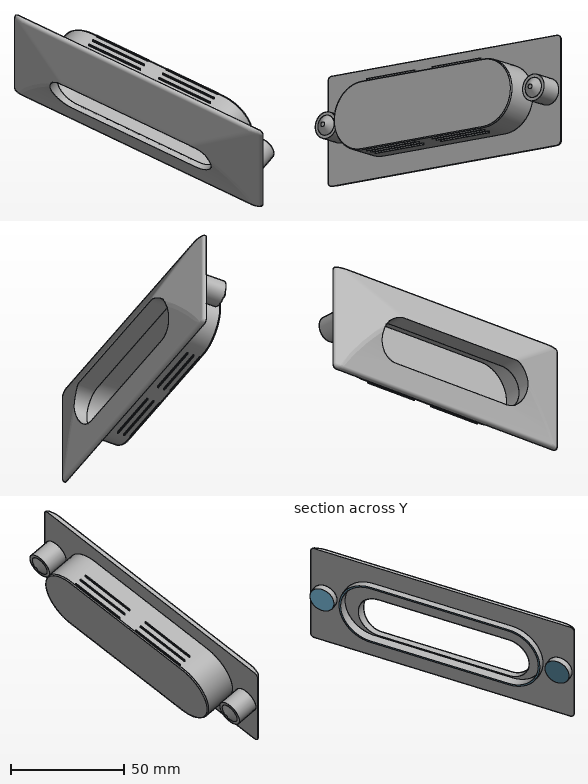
import cadquery as cq

cover_length = 130.0
cover_height = 50.0
cover_depth = 10.5
crest_height = 6.2
side_edge_depth = 1.3
long_edge_depth = 2.1
crest_half_length = 32.9
lower_slope_sag = 0.8
corner_radius = 2.0
ridge_radius = 5.0
rim_radius = 1.7
rim_zone_front = 3.2
rim_zone_back = 0.9

slot_length = 84.2
slot_height = 20.0
slot_center_z = -3.9

cup_length = 99.3
cup_height = 31.2
cup_wall = 1.0
cup_back = 15.9
cup_seat_depth = 1.3
cup_chamfer_inset = 0.4
cup_chamfer_depth = 0.6

rib_length = 27.0
rib_thickness = 0.4
rib_height = 0.8
rib_center_x = 18.3
rib_first_y = 8.7
rib_pitch = 3.1
rib_rows = 3

post_spacing = 116.0
post_diameter = 12.1
post_length = 10.5
tip_base_diameter = 9.1
tip_end_diameter = 2.1
tip_height = 2.3


def slot_prism(length, height, y_front, y_back, center_z=0.0):
    """Solid with a round-ended outline in XZ, from y_front to y_back."""
    return (
        cq.Workplane("XZ", origin=(0, y_front, center_z))
        .slot2D(length, height)
        .extrude(y_front - y_back)
    )


def sloped_block():
    """Four-sloped cover: an upright profile crossed with a plan outline."""
    half_height = cover_height / 2
    half_length = cover_length / 2
    lower_mid_y = -(long_edge_depth + cover_depth) / 2 + lower_slope_sag
    lower_mid_z = (crest_height - half_height) / 2
    profile = (
        cq.Workplane("YZ", origin=(-half_length, 0, 0))
        .moveTo(0, -half_height)
        .lineTo(-long_edge_depth, -half_height)
        .threePointArc((lower_mid_y, lower_mid_z), (-cover_depth, crest_height))
        .lineTo(-long_edge_depth, half_height)
        .lineTo(0, half_height)
        .close()
        .extrude(cover_length)
    )
    plan = (
        cq.Workplane("XY", origin=(0, 0, -half_height))
        .polyline([
            (-half_length, 0),
            (-half_length, -side_edge_depth),
            (-crest_half_length, -cover_depth),
            (crest_half_length, -cover_depth),
            (half_length, -side_edge_depth),
            (half_length, 0),
        ])
        .close()
        .extrude(cover_height)
    )
    return profile.intersect(plan)


def depth_zone(y_front, y_back):
    """Selects the edges whose centres lie between two depths."""
    reach = cover_length
    return cq.selectors.BoxSelector((-reach, y_front, -reach), (reach, y_back, reach))


def round_cover(block):
    """Round the sloping ridges, then the plate corners, then the front rim of the plate."""
    ridged = block.edges(depth_zone(-2 * cover_depth, -rim_zone_front)).fillet(ridge_radius)
    cornered = ridged.edges("|Y").fillet(corner_radius)
    return cornered.edges(depth_zone(-rim_zone_front, -rim_zone_back)).fillet(rim_radius)


def make_cover():
    block = round_cover(sloped_block())
    finger_slot = slot_prism(slot_length, slot_height, -cover_depth, 0, slot_center_z)
    cup_seat = slot_prism(cup_length, cup_height, -cup_seat_depth, 0)
    return block.cut(finger_slot).cut(cup_seat)


def make_ribs():
    """Rows of thin grip ribs, left and right, above and below the cup, rooted in its wall."""
    rib_root = cup_wall / 2
    rib_center_z = cup_height / 2 + (rib_height - rib_root) / 2
    centers = [
        (side_x * rib_center_x, rib_first_y + row * rib_pitch, side_z * rib_center_z)
        for row in range(rib_rows)
        for side_x in (-1, 1)
        for side_z in (-1, 1)
    ]
    return cq.Workplane("XY").pushPoints(centers).box(rib_length, rib_thickness, rib_height + rib_root)


def make_cup():
    """Round-ended tray, open to the front, with grip ribs above and below."""
    inner_length = cup_length - 2 * cup_wall
    inner_height = cup_height - 2 * cup_wall
    shell = slot_prism(cup_length, cup_height, -cup_seat_depth, cup_back)
    shell = shell.faces(">Y").chamfer(cup_chamfer_depth, cup_chamfer_inset)
    shell = shell.cut(slot_prism(inner_length, inner_height, -cup_seat_depth, cup_back - cup_wall))
    return shell.union(make_ribs())


def make_post(x):
    """Round post standing on the back of the cover."""
    return cq.Workplane("XZ", origin=(x, 0, 0)).circle(post_diameter / 2).extrude(-post_length)


def make_tip(x):
    """Blunt conical tip resting on the end of a post."""
    return (
        cq.Workplane("XZ", origin=(x, post_length, 0))
        .circle(tip_base_diameter / 2)
        .workplane(offset=-tip_height)
        .circle(tip_end_diameter / 2)
        .loft()
    )


cover = make_cover()
cup = make_cup()
post_positions = [-post_spacing / 2, post_spacing / 2]
posts = [make_post(x) for x in post_positions]
tips = [make_tip(x) for x in post_positions]

result = cq.Compound.makeCompound(
    [cover.val(), cup.val()]
    + [post.val() for post in posts]
    + [tip.val() for tip in tips]
)